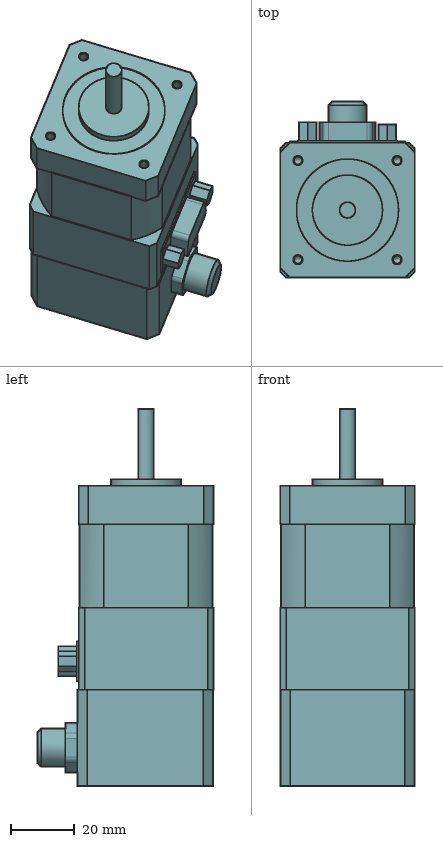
import cadquery as cq
import math

total_height = 118.0
rear_height = 30.2
encoder_top = 55.8
flange_bottom = 82.0
flange_top = 94.0
pilot_top = 96.0

body_width = 42.2
rear_inset = 0.1
stator_width = 41.7
stator_corner_diameter = 49.3
housing_chamfer = 3.1
encoder_chamfer = 1.9
rear_overhang = 0.4

shaft_diameter = 5.0
pilot_diameter = 22.0
recess_diameter = 32.0
recess_depth = 0.4
hole_spacing = 31.0
hole_diameter = 2.5
hole_mouth_diameter = 3.0
hole_depth = 4.5
drill_point_angle = 118.0

encoder_face = body_width / 2
connector_z = 39.0
plate_width = 31.2
plate_height = 12.6
plate_thickness = 0.6
shell_bottom_width = 18.3
shell_height = 9.4
shell_slant = 10.0
shell_corner_radius = 1.8
shell_end = 27.5
jack_spacing = 24.9
jack_across_flats = 5.5
left_jack_end = shell_end
right_jack_end = 26.8

rear_face = body_width / 2 + rear_overhang
plug_z = 12.0
plug_diameter = 12.0
plug_end = 34.0
plug_chamfer = 1.2
nut_across_flats = 14.0
nut_corner_radius = 2.0
nut_end = 25.3


def square_block(width, bottom, top):
    """Square block centred on the shaft axis."""
    return cq.Workplane("XY").workplane(offset=bottom).rect(width, width).extrude(top - bottom)


def disc(diameter, bottom, top):
    """Cylinder on the shaft axis."""
    return cq.Workplane("XY").workplane(offset=bottom).circle(diameter / 2).extrude(top - bottom)


def side_plane(x, y, z):
    """Sketch plane facing +Y; its local y axis is global Z."""
    return cq.Workplane(cq.Plane(origin=(x, y, z), xDir=(-1, 0, 0), normal=(0, 1, 0)))


def upright_hexagon(x, z, across_flats, start, end):
    """Hexagonal prism along +Y with a corner pointing up."""
    corner_radius = across_flats / math.sqrt(3)
    corner_angles = [math.radians(30 + 60 * i) for i in range(6)]
    corners = [(corner_radius * math.cos(a), corner_radius * math.sin(a)) for a in corner_angles]
    return side_plane(x, start, z).polyline(corners).close().extrude(end - start)


def make_housings():
    rear_width = body_width - 2 * rear_inset
    rear_depth = body_width - rear_inset + rear_overhang
    rear = (
        cq.Workplane("XY")
        .center(0, (rear_overhang + rear_inset) / 2)
        .rect(rear_width, rear_depth)
        .extrude(rear_height)
        .edges("|Z")
        .chamfer(housing_chamfer)
    )
    encoder = square_block(body_width, rear_height, encoder_top).edges("|Z").chamfer(encoder_chamfer)
    stator = square_block(stator_width, encoder_top, flange_bottom).intersect(
        disc(stator_corner_diameter, encoder_top, flange_bottom)
    )
    flange = square_block(body_width, flange_bottom, flange_top).edges("|Z").chamfer(housing_chamfer)
    return rear.union(encoder).union(stator).union(flange)


def make_mounting_hole():
    """Blind hole cutter with a countersunk mouth and a conical drill point."""
    radius = hole_diameter / 2
    mouth_radius = hole_mouth_diameter / 2
    point_length = radius / math.tan(math.radians(drill_point_angle / 2))
    outline = [
        (0, 0),
        (mouth_radius, 0),
        (radius, radius - mouth_radius),
        (radius, -hole_depth),
        (0, -hole_depth - point_length),
    ]
    hole = cq.Workplane("XZ").polyline(outline).close().revolve(360, (0, 0, 0), (0, 1, 0))
    return hole.translate((0, 0, flange_top))


def make_connector():
    plate = side_plane(0, encoder_face, connector_z).rect(plate_width, plate_height).extrude(plate_thickness)
    half_bottom = shell_bottom_width / 2
    half_top = half_bottom - shell_height * math.tan(math.radians(shell_slant))
    half_height = shell_height / 2
    outline = [
        (-half_bottom, -half_height),
        (half_bottom, -half_height),
        (half_top, half_height),
        (-half_top, half_height),
    ]
    shell = (
        side_plane(0, encoder_face, connector_z)
        .polyline(outline)
        .close()
        .extrude(shell_end - encoder_face)
        .edges("|Y")
        .fillet(shell_corner_radius)
    )
    connector = plate.union(shell)
    for x, end in ((-jack_spacing / 2, left_jack_end), (jack_spacing / 2, right_jack_end)):
        connector = connector.union(upright_hexagon(x, connector_z, jack_across_flats, encoder_face, end))
    return connector


def make_plug():
    nut = upright_hexagon(0, plug_z, nut_across_flats, rear_face, nut_end)
    nut = nut.edges("|Y").fillet(nut_corner_radius)
    plug = (
        side_plane(0, rear_face, plug_z)
        .circle(plug_diameter / 2)
        .extrude(plug_end - rear_face)
        .faces(">Y")
        .chamfer(plug_chamfer)
    )
    return nut.union(plug)


motor = make_housings()

motor = motor.cut(disc(recess_diameter, flange_top - recess_depth, flange_top))
motor = motor.union(disc(pilot_diameter, flange_top - recess_depth, pilot_top))
motor = motor.union(disc(shaft_diameter, pilot_top, total_height))
for x in (-hole_spacing / 2, hole_spacing / 2):
    for y in (-hole_spacing / 2, hole_spacing / 2):
        motor = motor.cut(make_mounting_hole().translate((x, y, 0)))

result = motor.union(make_connector()).union(make_plug())